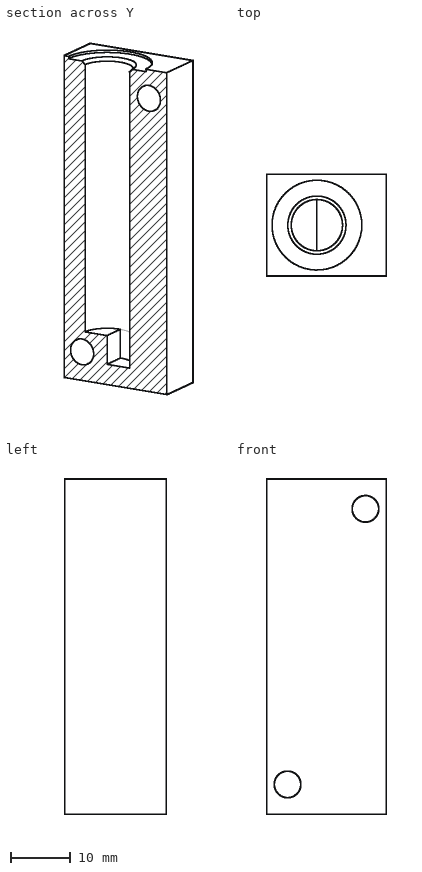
import cadquery as cq

length_x = 20.0
width_y = 17.0
height_z = 56.0

mount_hole_diameter = 4.4
mount_inset_x = 3.5
mount_inset_z = 5.0

port_x = 8.4
port_y = width_y / 2
spotface_diameter = 15.0
spotface_depth = 0.4
bore_diameter = 8.566
bore_depth = 47.0
bore_mouth_diameter = 9.728
mouth_chamfer = (bore_mouth_diameter - bore_diameter) / 2

floor_step = 5.0


def make_block():
    return cq.Workplane("XY").box(length_x, width_y, height_z, centered=False)


def make_mount_holes():
    """Two cylinders along Y, placed point-symmetrically about the block centre."""
    centres = [
        (mount_inset_x, mount_inset_z),
        (length_x - mount_inset_x, height_z - mount_inset_z),
    ]
    return (
        cq.Workplane("XZ")
        .pushPoints(centres)
        .circle(mount_hole_diameter / 2)
        .extrude(-width_y)
    )


def make_port():
    """Revolved half profile: spotface, 45 degree mouth chamfer and flat-bottomed bore."""
    seat_z = -spotface_depth
    floor_z = seat_z - bore_depth
    profile = (
        cq.Workplane("XZ")
        .lineTo(spotface_diameter / 2, 0)
        .lineTo(spotface_diameter / 2, seat_z)
        .lineTo(bore_mouth_diameter / 2, seat_z)
        .lineTo(bore_diameter / 2, seat_z - mouth_chamfer)
        .lineTo(bore_diameter / 2, floor_z)
        .lineTo(0, floor_z)
        .close()
    )
    port = profile.revolve(360, (0, 0, 0), (0, 1, 0))
    return port.translate((port_x, port_y, height_z))


def make_floor_step():
    """Half disc on the +X side of the bore axis, cut below the bore floor."""
    radius = bore_diameter / 2
    half_disc = (
        cq.Workplane("XY")
        .moveTo(0, -radius)
        .threePointArc((radius, 0), (0, radius))
        .close()
        .extrude(-floor_step)
    )
    return half_disc.translate((port_x, port_y, height_z - spotface_depth - bore_depth))


result = (
    make_block()
    .cut(make_mount_holes())
    .cut(make_port())
    .cut(make_floor_step())
)